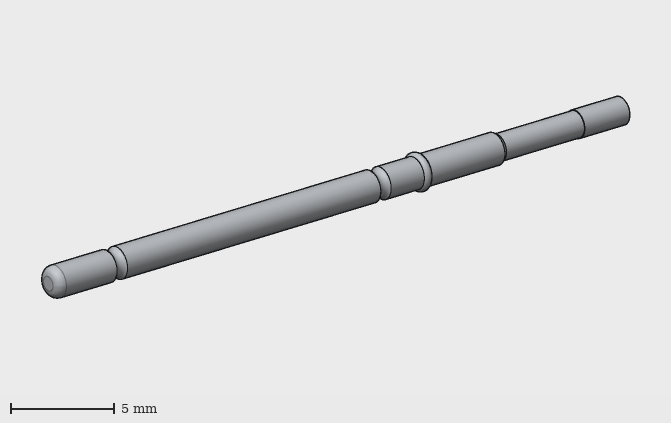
import cadquery as cq
import math

length = 35.4
body_radius = 1.65 / 2
tail_radius = 1.45 / 2
neck_radius = 1.38 / 2
collar_radius = 2.0 / 2

tail_length = 3.05
neck_end = 7.82
shoulder_end = 8.05
collar_place = 12.75
groove_places = (15.33, 31.5)

tail_dome_height = 0.3
collar_bead_radius = 0.25
groove_half_width = 0.32
groove_depth = 0.18
nose_rounding = 0.45


def station(distance):
    """Y position of a point at this distance from the rear end."""
    return length / 2 - distance


def revolve_about_y(profile):
    return profile.close().revolve(360, (0, 0, 0), (0, 1, 0))


def make_pin():
    """Stepped round pin with a domed tail, a slimmer neck and a rounded nose."""
    dome_radius = (tail_radius**2 + tail_dome_height**2) / (2 * tail_dome_height)
    dome_half_angle = math.asin(tail_radius / dome_radius) / 2
    dome_middle = (
        dome_radius * math.sin(dome_half_angle),
        station(dome_radius * (1 - math.cos(dome_half_angle))),
    )
    nose_arc_drop = nose_rounding * (1 - math.sqrt(0.5))
    profile = (
        cq.Workplane("XY")
        .moveTo(0, station(0))
        .threePointArc(dome_middle, (tail_radius, station(tail_dome_height)))
        .lineTo(tail_radius, station(tail_length))
        .lineTo(neck_radius, station(tail_length))
        .lineTo(neck_radius, station(neck_end))
        .lineTo(body_radius, station(shoulder_end))
        .lineTo(body_radius, station(length - nose_rounding))
        .threePointArc(
            (body_radius - nose_arc_drop, station(length - nose_arc_drop)),
            (body_radius - nose_rounding, station(length)),
        )
        .lineTo(0, station(length))
    )
    return revolve_about_y(profile)


def make_collar():
    """Round bead that runs around the body."""
    bead_centre = collar_radius - collar_bead_radius
    return revolve_about_y(
        cq.Workplane("XY")
        .moveTo(0, station(collar_place - collar_bead_radius))
        .lineTo(bead_centre, station(collar_place - collar_bead_radius))
        .threePointArc(
            (collar_radius, station(collar_place)),
            (bead_centre, station(collar_place + collar_bead_radius)),
        )
        .lineTo(0, station(collar_place + collar_bead_radius))
    )


def make_groove(place):
    """Ring with an arc-shaped floor, to be cut from the body."""
    return revolve_about_y(
        cq.Workplane("XY")
        .moveTo(body_radius, station(place - groove_half_width))
        .threePointArc(
            (body_radius - groove_depth, station(place)),
            (body_radius, station(place + groove_half_width)),
        )
    )


result = make_pin().union(make_collar())
for groove_place in groove_places:
    result = result.cut(make_groove(groove_place))